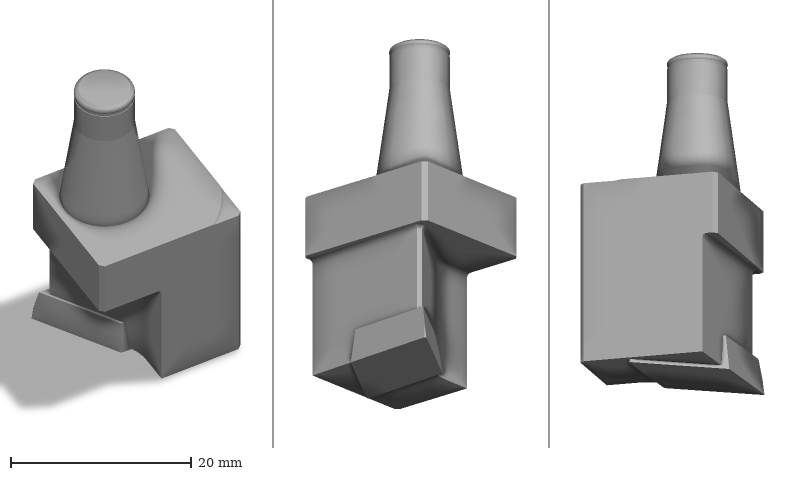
import cadquery as cq
import math


shank_base_radius = 10.0 / 2
shank_radius = 6.75 / 2
shank_top_z = 16.5
cone_half_angle = 8.0
groove_bottom_z = 15.34
groove_top_z = 15.7
groove_depth = 0.07
bead_mid_z = 16.06
end_chamfer_width = 0.22
end_chamfer_height = 0.14
end_face_radius = 2.89

flange_left = -6.0
flange_right = 10.0
flange_front = -6.0
flange_back = 12.0
flange_thickness = 7.0
corner_chamfer = 0.5
seat_radius = 13.05
relief_depth = 0.1

insert_inscribed_circle = 9.525
insert_point_angle = 55.0
insert_clearance_angle = 7.0
insert_thickness = 3.97
insert_nose_radius = 0.2
insert_bottom_z = -21.0
side_edge_tilt = 3.0

block_bottom_z = -20.62
block_corner_x = -5.2
block_corner_y = -4.76
block_edge_chamfer = 0.65
front_fillet_radius = 5.0
front_flat_x = 6.56
root_fillet = 0.5

side_edge_angle = math.radians(90 - side_edge_tilt)
front_edge_angle = math.radians(90 - side_edge_tilt - insert_point_angle)
side_direction = cq.Vector(math.cos(side_edge_angle), math.sin(side_edge_angle))
front_direction = cq.Vector(math.cos(front_edge_angle), math.sin(front_edge_angle))


def make_shank():
    """Tapered shank with a groove and a rounded bead at its end."""
    cone_top_z = (shank_base_radius - shank_radius) / math.tan(math.radians(cone_half_angle))
    root_z = -flange_thickness / 2
    groove_radius = shank_radius - groove_depth
    bead_bottom = (groove_radius, groove_top_z)
    bead_middle = (shank_radius, bead_mid_z)
    bead_top = (end_face_radius + end_chamfer_width, shank_top_z - end_chamfer_height)
    profile = (
        cq.Workplane("XZ")
        .moveTo(0, root_z)
        .lineTo(shank_base_radius, root_z)
        .lineTo(shank_base_radius, 0)
        .lineTo(shank_radius, cone_top_z)
        .lineTo(shank_radius, groove_bottom_z)
        .lineTo(groove_radius, groove_bottom_z)
        .lineTo(*bead_bottom)
        .threePointArc(bead_middle, bead_top)
        .lineTo(end_face_radius, shank_top_z)
        .lineTo(0, shank_top_z)
        .close()
    )
    return profile.revolve(360, (0, 0, 0), (0, 1, 0))


def make_flange():
    """Rectangular flange; outside the round seat its top face is slightly relieved."""
    flange = (
        cq.Workplane("XY")
        .box(
            flange_right - flange_left,
            flange_back - flange_front,
            flange_thickness,
            centered=False,
        )
        .translate((flange_left, flange_front, -flange_thickness))
        .edges("|Z")
        .chamfer(corner_chamfer)
    )
    relief_outer_radius = seat_radius + 2 * flange_back
    relief = (
        cq.Workplane("XZ")
        .moveTo(seat_radius, 0)
        .lineTo(relief_outer_radius, 0)
        .lineTo(relief_outer_radius, -relief_depth)
        .lineTo(seat_radius + relief_depth, -relief_depth)
        .close()
        .revolve(360, (0, 0, 0), (0, 1, 0))
    )
    relief_corner = cq.Workplane("XY").box(
        flange_right, flange_back, 2 * relief_depth, centered=(False, False, True)
    )
    return flange.cut(relief.intersect(relief_corner))


def make_tool_block():
    """Block whose side and front faces run parallel to the cutting edges of the insert."""
    corner = cq.Vector(block_corner_x, block_corner_y)
    side_start = corner + side_direction * block_edge_chamfer
    front_start = corner + front_direction * block_edge_chamfer
    side_length = (flange_back - block_corner_y) / side_direction.y
    side_end = corner + side_direction * side_length

    arc_width = front_fillet_radius * math.sin(front_edge_angle)
    slope_end_x = front_flat_x - arc_width
    slope_end = corner + front_direction * ((slope_end_x - block_corner_x) / front_direction.x)
    arc_height = front_fillet_radius * (1 - math.cos(front_edge_angle))
    front_flat_y = slope_end.y + arc_height
    half_angle = front_edge_angle / 2
    arc_middle = (
        front_flat_x - front_fillet_radius * math.sin(half_angle),
        front_flat_y - front_fillet_radius * (1 - math.cos(half_angle)),
    )
    return (
        cq.Workplane("XY")
        .workplane(offset=block_bottom_z)
        .moveTo(side_end.x, side_end.y)
        .lineTo(side_start.x, side_start.y)
        .lineTo(front_start.x, front_start.y)
        .lineTo(slope_end.x, slope_end.y)
        .threePointArc(arc_middle, (front_flat_x, front_flat_y))
        .lineTo(flange_right, front_flat_y)
        .lineTo(flange_right, flange_back - corner_chamfer)
        .lineTo(flange_right - corner_chamfer, flange_back)
        .close()
        .extrude(-flange_thickness - block_bottom_z)
    )


def fillet_block_root(body):
    """Fillet the inner corner where the block's side and front faces meet the flange."""
    margin = corner_chamfer
    inside_box = cq.selectors.BoxSelector(
        (flange_left + margin, flange_front + margin, -flange_thickness - margin),
        (flange_right - margin, flange_back - margin, -flange_thickness + margin),
    )
    return body.edges(inside_box).fillet(root_fillet)


def make_insert():
    """Rhombic insert with a rounded nose that narrows upward by the clearance angle."""
    edge_length = insert_inscribed_circle / math.sin(math.radians(insert_point_angle))
    half_point_angle = math.radians(insert_point_angle / 2)
    bisector_angle = front_edge_angle + half_point_angle

    nose_setback = insert_nose_radius / math.sin(half_point_angle)
    tip = cq.Vector(
        flange_left + insert_nose_radius - nose_setback * math.cos(bisector_angle),
        flange_front + insert_nose_radius - nose_setback * math.sin(bisector_angle),
    )
    side_corner = tip + side_direction * edge_length
    front_corner = tip + front_direction * edge_length
    far_tip = front_corner + side_direction * edge_length

    tangent_length = insert_nose_radius / math.tan(half_point_angle)
    arc_setback = nose_setback - insert_nose_radius
    bisector = cq.Vector(math.cos(bisector_angle), math.sin(bisector_angle))

    def point(vector):
        return (vector.x, vector.y)

    return (
        cq.Workplane("XY")
        .workplane(offset=insert_bottom_z)
        .moveTo(*point(tip + front_direction * tangent_length))
        .lineTo(*point(front_corner))
        .lineTo(*point(far_tip - side_direction * tangent_length))
        .threePointArc(
            point(far_tip - bisector * arc_setback),
            point(far_tip - front_direction * tangent_length),
        )
        .lineTo(*point(side_corner))
        .lineTo(*point(tip + side_direction * tangent_length))
        .threePointArc(
            point(tip + bisector * arc_setback),
            point(tip + front_direction * tangent_length),
        )
        .close()
        .extrude(insert_thickness, taper=insert_clearance_angle)
    )


insert = make_insert()
holder = fillet_block_root(make_flange().union(make_tool_block()))
holder = holder.union(make_shank())
holder = holder.cut(insert)

result = cq.Compound.makeCompound([holder.val(), insert.val()])